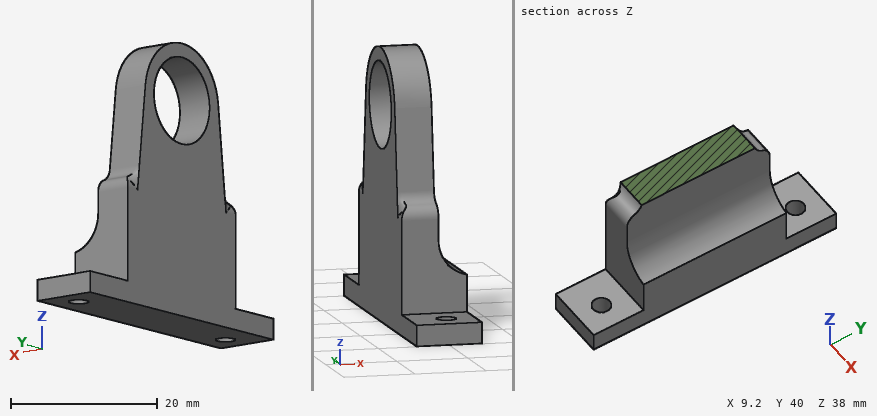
import cadquery as cq
import math

foot_length = 40.0
foot_depth = 9.2
foot_height = 2.95
screw_hole_diameter = 2.7
screw_hole_spacing = 32.0
screw_hole_x = 5.2

plate_thickness = 5.2
eye_height = 30.0
eye_radius = 8.0
bore_diameter = 12.1
flank_angle = math.radians(6.5)

block_half_width = 11.78
block_top = 18.0
hollow_radius = 5.0
hollow_center_z = 13.0

round_radius = 2.0
round_start_z = block_top - round_radius

upper_cove_angles = (0, 15, 30)
lower_cove_angles = (30, 45, 60, 75, 87)
burial_ratio = 1.5

normal_y = math.cos(flank_angle)
normal_z = math.sin(flank_angle)
flank_offset = eye_height * normal_z + eye_radius


def flank_y(z):
    """Half width of the tapered plate at height z."""
    return (flank_offset - z * normal_z) / normal_y


def make_foot():
    foot = cq.Workplane("XY").box(foot_depth, foot_length, foot_height, centered=(False, True, False))
    holes = (
        cq.Workplane("XY")
        .pushPoints([(screw_hole_x, -screw_hole_spacing / 2), (screw_hole_x, screw_hole_spacing / 2)])
        .circle(screw_hole_diameter / 2)
        .extrude(foot_height)
    )
    return foot.cut(holes)


def make_block():
    """Block up to the start of its rounded edges, with the hollow at the rear."""
    center_x = plate_thickness + hollow_radius
    end_angle = math.acos((center_x - foot_depth) / hollow_radius)
    hollow_end_z = hollow_center_z - hollow_radius * math.sin(end_angle)
    middle = (
        center_x - hollow_radius * math.cos(end_angle / 2),
        hollow_center_z - hollow_radius * math.sin(end_angle / 2),
    )
    return (
        cq.Workplane("XZ")
        .lineTo(foot_depth, 0)
        .lineTo(foot_depth, hollow_end_z)
        .threePointArc(middle, (plate_thickness, hollow_center_z))
        .lineTo(plate_thickness, round_start_z)
        .lineTo(0, round_start_z)
        .close()
        .extrude(block_half_width, both=True)
    )


def make_plate():
    tangent_y = eye_radius * normal_y
    tangent_z = eye_height + eye_radius * normal_z
    return (
        cq.Workplane("YZ")
        .moveTo(-flank_y(0), 0)
        .lineTo(-tangent_y, tangent_z)
        .threePointArc((0, eye_height + eye_radius), (tangent_y, tangent_z))
        .lineTo(flank_y(0), 0)
        .close()
        .extrude(plate_thickness)
    )


def make_shoulder_outline():
    """Prism with the rounded +Y block corner flowing through a cove into the flank."""
    edge_center_y = block_half_width - round_radius
    gap = flank_offset + round_radius - edge_center_y * normal_y - round_start_z * normal_z
    meet_angle = flank_angle + math.acos(gap / (2 * round_radius))
    cove_y = edge_center_y + 2 * round_radius * math.cos(meet_angle)
    cove_z = round_start_z + 2 * round_radius * math.sin(meet_angle)

    def on_corner(angle):
        y = edge_center_y + round_radius * math.cos(angle)
        z = round_start_z + round_radius * math.sin(angle)
        return (y, z)

    def on_cove(angle):
        y = cove_y - round_radius * math.cos(angle)
        z = cove_z - round_radius * math.sin(angle)
        return (y, z)

    flank_end = on_cove(flank_angle)
    return (
        cq.Workplane("YZ")
        .moveTo(0, round_start_z)
        .lineTo(block_half_width, round_start_z)
        .threePointArc(on_corner(meet_angle / 2), on_corner(meet_angle))
        .threePointArc(on_cove((meet_angle + flank_angle) / 2), flank_end)
        .lineTo(0, flank_end[1])
        .close()
        .extrude(plate_thickness)
    )


def cove_section(angle_degrees):
    """Wedge under a ball of the cove radius that rests on the rounded front edge and the plate.

    The angle tilts the ball from straight above the edge axis (0) toward the front (90).
    Once its center is in front of the plate, the ball rests on the front edge of the flank.
    """
    angle = math.radians(angle_degrees)
    ball_x = round_radius - 2 * round_radius * math.sin(angle)
    ball_z = round_start_z + 2 * round_radius * math.cos(angle)
    overhang = min(ball_x, 0)
    reach = math.sqrt(round_radius**2 - overhang**2)
    ball_y = (flank_offset + reach - ball_z * normal_z) / normal_y
    ball = cq.Vector(ball_x, ball_y, ball_z)

    on_plate = cq.Vector(ball_x - overhang, ball_y - reach * normal_y, ball_z - reach * normal_z)
    on_edge = (ball + cq.Vector(round_radius, ball_y, round_start_z)) * 0.5
    buried = on_plate + (on_edge - ball) * burial_ratio
    toward_middle = ((on_plate + on_edge) * 0.5 - ball).normalized()
    arc = cq.Edge.makeThreePointArc(on_plate, ball + toward_middle * round_radius, on_edge)
    return cq.Wire.assembleEdges(
        [cq.Edge.makeLine(buried, on_plate), arc, cq.Edge.makeLine(on_edge, buried)]
    )


def make_front_rounding():
    """Rounded front edge of the block with the cove that fades out along the flank."""
    front_edge = (
        cq.Workplane("XZ", origin=(round_radius, 0, round_start_z))
        .circle(round_radius)
        .extrude(-block_half_width)
    )
    upper_cove = cq.Solid.makeLoft([cove_section(angle) for angle in upper_cove_angles])
    lower_cove = cq.Solid.makeLoft([cove_section(angle) for angle in lower_cove_angles])
    return front_edge.union(cq.Workplane(upper_cove)).union(cq.Workplane(lower_cove))


def make_shoulder():
    outline = make_shoulder_outline()
    behind_rounding = cq.Workplane("XY").box(
        plate_thickness - round_radius, foot_length, eye_height, centered=(False, True, False)
    )
    rear = outline.intersect(behind_rounding.translate((round_radius, 0, 0)))
    return outline.intersect(make_front_rounding()).union(rear)


def make_bore():
    return cq.Workplane("YZ").center(0, eye_height).circle(bore_diameter / 2).extrude(plate_thickness)


shoulder = make_shoulder()
result = make_foot().union(make_block()).union(make_plate())
result = result.union(shoulder).union(shoulder.mirror("XZ"))
result = result.cut(make_bore())